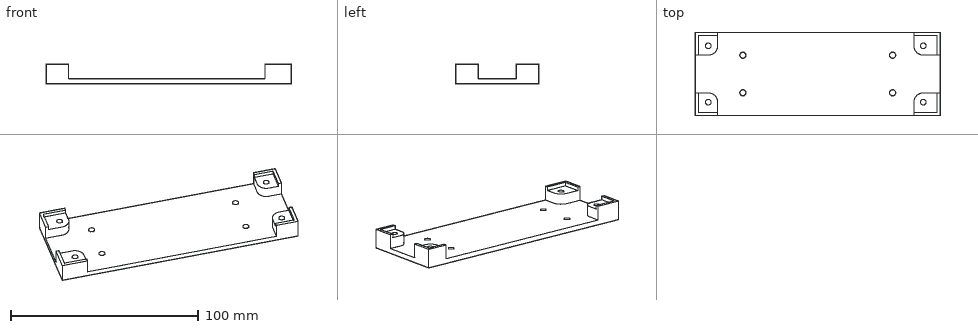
import cadquery as cq

length = 131.0
width = 44.5
height = 10.5
plate_thickness = 2.8

block_length_left = 12.0
block_length_right = 14.1
block_width = 12.2
corner_radius = 5.0

wall = 1.7
seat_depth = 2.0
block_hole_diameter = 3.0

mount_spacing_x = 79.9
mount_spacing_y = 20.0
mount_hole_diameter = 3.1

block_height = height - plate_thickness
seat_height = block_height - seat_depth


def corner_block(block_length):
    """Block with its outer corner at the origin, extending to +X and +Y."""
    block = cq.Workplane("XY").box(block_length, block_width, block_height, centered=False)
    block = block.edges("|Z and >X and >Y").fillet(corner_radius)
    seat = (
        cq.Workplane("XY", origin=(wall, wall, seat_height))
        .box(block_length, block_width, seat_depth, centered=False)
    )
    hole = (
        cq.Workplane("XY")
        .center(block_length - corner_radius, block_width - corner_radius)
        .circle(block_hole_diameter / 2)
        .extrude(block_height)
    )
    return block.cut(seat).cut(hole)


plate = (
    cq.Workplane("XY")
    .box(length, width, plate_thickness, centered=(True, True, False))
    .faces(">Z")
    .workplane()
    .rarray(mount_spacing_x, mount_spacing_y, 2, 2)
    .hole(mount_hole_diameter)
)

plate_corner = (-length / 2, -width / 2, plate_thickness)
left_block = corner_block(block_length_left).translate(plate_corner)
right_block = corner_block(block_length_right).translate(plate_corner).mirror("YZ")

result = plate
for block in (left_block, right_block):
    result = result.union(block).union(block.mirror("XZ"))